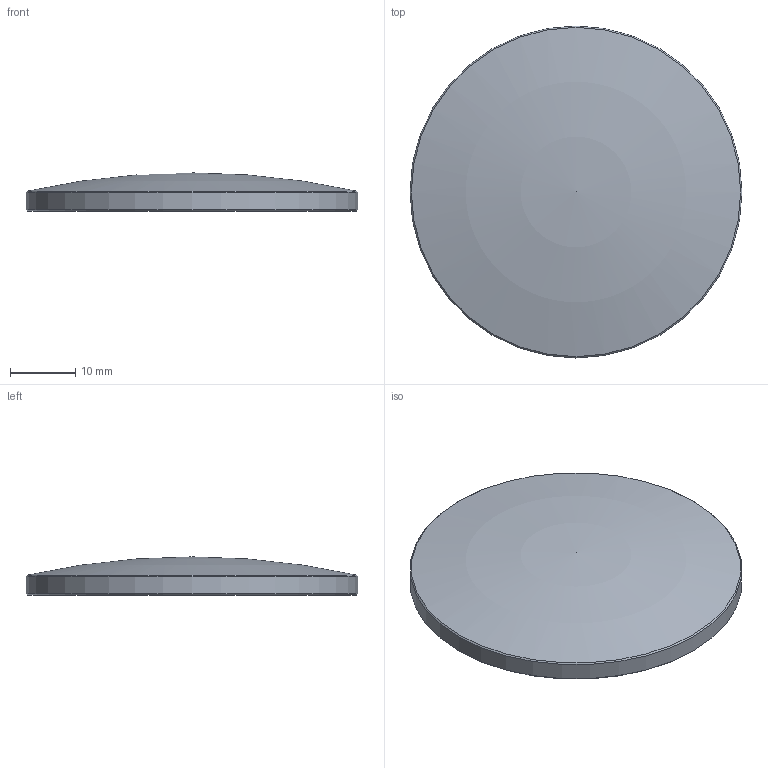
import cadquery as cq
import math

diameter = 50.8
edge_thickness = 3.0
dome_radius = 115.0
bevel = 0.2

rim_radius = diameter / 2
bevel_radius = rim_radius - bevel


def dome_drop(radius):
    """Depth of the convex face below its apex at a distance from the axis."""
    return dome_radius - math.sqrt(dome_radius**2 - radius**2)


center_thickness = edge_thickness + dome_drop(rim_radius)


def dome_height(radius):
    """Z of the convex face at a distance from the axis."""
    return center_thickness - dome_drop(radius)


def lens_half_profile():
    """Half section of the lens in the XZ plane, from the axis to the rim."""
    dome_edge_height = dome_height(bevel_radius)
    return (
        cq.Workplane("XZ")
        .moveTo(0, 0)
        .lineTo(bevel_radius, 0)
        .lineTo(rim_radius, bevel)
        .lineTo(rim_radius, dome_edge_height - bevel)
        .lineTo(bevel_radius, dome_edge_height)
        .threePointArc(
            (bevel_radius / 2, dome_height(bevel_radius / 2)),
            (0, center_thickness),
        )
        .close()
    )


result = lens_half_profile().revolve(360, (0, 0), (0, 1))